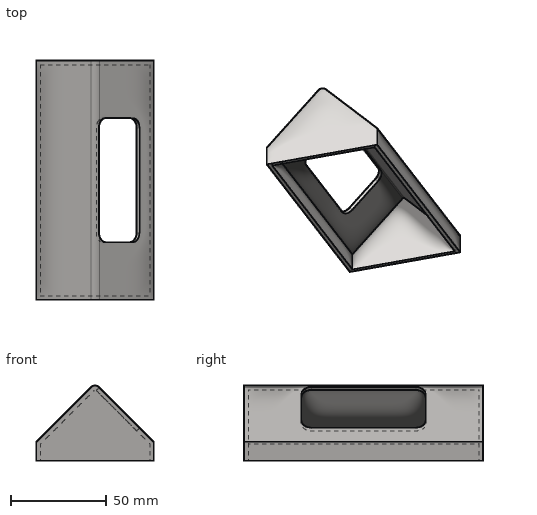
import cadquery as cq
import math

length = 126.0
width = 62.0
side_height = 10.0
ridge_radius = 3.0
wall = 2.3

window_length = 65.3
window_height = 30.1
window_corner_radius = 5.0

half_width = width / 2
slope_angle = 45.0
sharp_ridge_height = side_height + half_width * math.tan(math.radians(slope_angle))
tangent_x = ridge_radius * math.sin(math.radians(slope_angle))


def gable_prism(half_span, eave_height, peak_height, depth, peak_radius):
    """Gabled prism along Y, centred on Y = 0, with a rounded ridge and its base on Z = 0."""
    outline = [
        (-half_span, 0),
        (half_span, 0),
        (half_span, eave_height),
        (0, peak_height),
        (-half_span, eave_height),
    ]
    prism = cq.Workplane("XZ").polyline(outline).close().extrude(depth / 2, both=True)
    return prism.edges("|Y").edges(">Z").fillet(peak_radius)


def hollow_body():
    """Gabled cover with uniform walls, closed at both ends and open underneath."""
    outer = gable_prism(half_width, side_height, sharp_ridge_height, length, ridge_radius)
    inner_half_width = half_width - wall
    inner_peak = sharp_ridge_height - wall / math.cos(math.radians(slope_angle))
    inner_eave = inner_peak - inner_half_width * math.tan(math.radians(slope_angle))
    cavity = gable_prism(inner_half_width, inner_eave, inner_peak, length - 2 * wall, ridge_radius - wall)
    return outer.cut(cavity)


def window_cutter():
    """Rounded rectangle normal to the +X slope, its upper edge where the ridge rounding ends."""
    center_x = tangent_x + window_height / 2 * math.cos(math.radians(slope_angle))
    center_z = sharp_ridge_height - center_x * math.tan(math.radians(slope_angle))
    slope_plane = cq.Plane(
        origin=(center_x, 0, center_z),
        xDir=(0, 1, 0),
        normal=(math.sin(math.radians(slope_angle)), 0, math.cos(math.radians(slope_angle))),
    )
    return (
        cq.Workplane(slope_plane)
        .rect(window_length, window_height)
        .extrude(wall, both=True)
        .edges(cq.selectors.ParallelDirSelector(slope_plane.zDir))
        .fillet(window_corner_radius)
    )


result = hollow_body().cut(window_cutter())